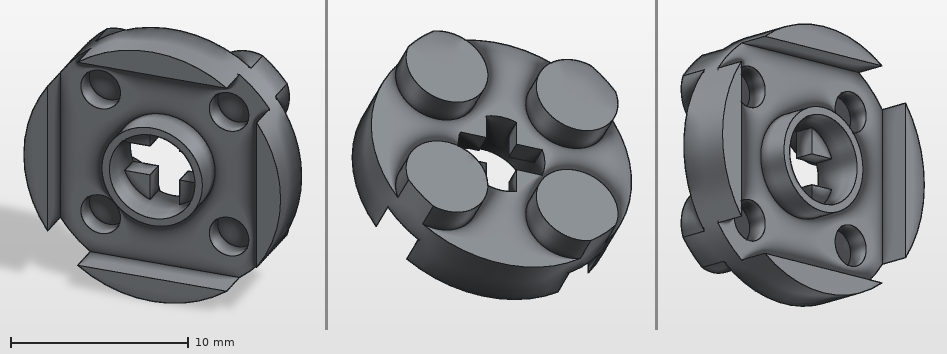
import cadquery as cq

disc_diameter = 15.6
total_height = 4.96
stud_height = 1.76
disc_height = total_height - stud_height

recess_side = 12.7
recess_depth = 1.92

stud_pitch = 7.8
stud_diameter = 4.9
stud_hole_diameter = 2.4
stud_hole_depth = disc_height - recess_depth

tube_outer_diameter = 6.1
tube_inner_diameter = 5.2
tube_bore_depth = recess_depth
axle_slot_width = 1.8


def layer(start):
    """Workplane at Y = start, whose extrusions run toward +Y."""
    return cq.Workplane("XZ", origin=(0, start, 0))


def cylinder(diameter, start, height):
    """Cylinder around the part axis, from Y = start toward +Y."""
    return layer(start).circle(diameter / 2).extrude(-height)


def at_studs(start, diameter, height):
    """Cylinders at the four stud centres, from Y = start toward +Y."""
    return (
        layer(start)
        .rect(stud_pitch, stud_pitch, forConstruction=True)
        .vertices()
        .circle(diameter / 2)
        .extrude(-height)
    )


def make_disc():
    recess = layer(0).rect(recess_side, recess_side).extrude(-recess_depth)
    return cylinder(disc_diameter, 0, disc_height).cut(recess)


def make_studs():
    """Studs, trimmed where they would overhang the disc."""
    studs = at_studs(disc_height, stud_diameter, stud_height)
    return studs.intersect(cylinder(disc_diameter, disc_height, stud_height))


def make_axle_opening():
    """Round bore in the tube, then a cross with rounded arm ends through the plate."""
    cross = (
        layer(0)
        .rect(tube_inner_diameter, axle_slot_width)
        .extrude(-disc_height)
        .union(layer(0).rect(axle_slot_width, tube_inner_diameter).extrude(-disc_height))
        .intersect(cylinder(tube_inner_diameter, 0, disc_height))
    )
    return cross.union(cylinder(tube_inner_diameter, 0, tube_bore_depth))


tube = cylinder(tube_outer_diameter, 0, recess_depth)
stud_holes = at_studs(recess_depth, stud_hole_diameter, stud_hole_depth)

result = (
    make_disc()
    .union(make_studs())
    .union(tube)
    .cut(stud_holes)
    .cut(make_axle_opening())
)